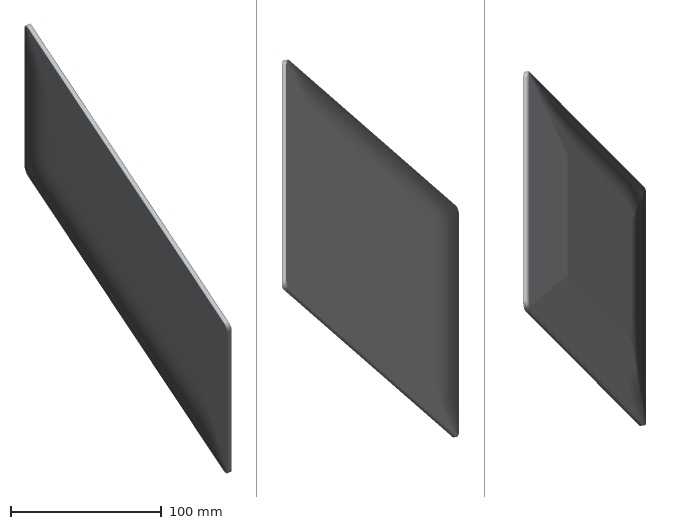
import cadquery as cq

width = 286.0
depth = 12.0
height = 166.0

rim_depth = 2.5
bevel = 1.0
slope_run_x = 65.8
slope_run_z = 41.5
corner_radius = 5.7
front_chamfer = 0.3

bevel_end = rim_depth + bevel


def make_plate():
    """Rounded rectangular block filling the full depth, with a slightly broken front edge."""
    block = cq.Workplane("XY").box(width, depth, height, centered=(True, False, True))
    return block.edges("|Y").fillet(corner_radius).faces("<Y").edges().chamfer(front_chamfer)


def make_frustum(start_y, end_y, start_inset, end_inset):
    """Tapered layer between two rectangles, each inset (x, z) from the outer sides."""
    return (
        cq.Workplane("XZ", origin=(0, start_y, 0))
        .rect(width - 2 * start_inset[0], height - 2 * start_inset[1])
        .workplane(offset=start_y - end_y)
        .rect(width - 2 * end_inset[0], height - 2 * end_inset[1])
        .loft(ruled=True)
    )


def make_sloped_envelope():
    """Straight band, narrow bevel and flat-topped pyramid stacked toward +Y."""
    band = cq.Workplane("XY").box(width, rim_depth, height, centered=(True, False, True))
    bevel_layer = make_frustum(rim_depth, bevel_end, (0, 0), (bevel, bevel))
    back = make_frustum(bevel_end, depth, (bevel, bevel), (slope_run_x, slope_run_z))
    return band.union(bevel_layer).union(back)


result = make_plate().intersect(make_sloped_envelope())